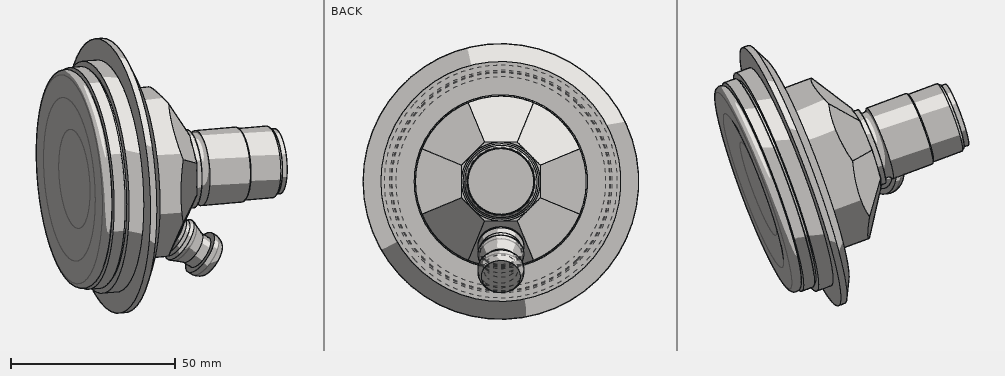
import cadquery as cq
import math

plate_dia = 84.0
plate_bevel_dia = 73.1
plate_front = 12.1
plate_bevel_start = 14.1
plate_back = 17.0
rear_ring_dia = 71.0
rear_ring_front = 7.4
front_ring_dia = 67.9
front_ring_back = 6.6
front_ring_front = 3.1
ring_groove_dia = 66.4
bead_core_dia = 63.9
bead_radius = 1.5

dish_rim_dia = 50.1
dish_floor_dia = 30.3
dish_depth = 1.6

body_dia = 52.0
body_flare_dia = 52.8
body_flare_end = 17.7
facet_count = 8
facet_slope = 55.0
facets_back = 37.0

collar_dia = 24.0
collar_back = 38.6
neck_dia = 21.0
grip_dia = 23.0
grip_front = 41.3
grip_back = 54.3
grip_chamfer_end = 54.7
sleeve_dia = 22.0
sleeve_chamfer_start = 64.2
sleeve_back = 65.0
tip_chamfer_dia = 20.5
tip_dia = 20.0
total_length = 66.6

nozzle_offset = 9.15
nozzle_root_depth = 2.5
nozzle_wide_dia = 14.0
nozzle_neck_dia = 12.5
nozzle_stem_dia = 10.5
nozzle_end_dia = 11.9
nozzle_base_height = 0.6
nozzle_neck_start = 2.1
nozzle_neck_end = 3.45
nozzle_bulge_start = 4.45
nozzle_bulge_mid = 5.2
nozzle_bulge_mid_dia = 13.8
nozzle_cone_start = 5.8
nozzle_cone_dia = 13.2
nozzle_stem_start = 9.3
nozzle_stem_end = 12.4
nozzle_head_edge = 14.2
nozzle_round_mid = 15.2
nozzle_round_mid_dia = 13.5
nozzle_height = 16.5


def revolve_outline(outline):
    """Close an outline of (radius, y) points and turn it about the Y axis."""
    return outline.close().revolve(360, (0, 0, 0), (0, 1, 0))


def make_front():
    bead_core = bead_core_dia / 2
    outline = (
        cq.Workplane("XY")
        .moveTo(0, 0)
        .lineTo(bead_core, 0)
        .threePointArc((bead_core + bead_radius, bead_radius), (bead_core, 2 * bead_radius))
        .lineTo(bead_core, front_ring_front)
        .lineTo(front_ring_dia / 2, front_ring_front)
        .lineTo(front_ring_dia / 2, front_ring_back)
        .lineTo(ring_groove_dia / 2, front_ring_back)
        .lineTo(ring_groove_dia / 2, rear_ring_front)
        .lineTo(rear_ring_dia / 2, rear_ring_front)
        .lineTo(rear_ring_dia / 2, plate_front)
        .lineTo(plate_dia / 2, plate_front)
        .lineTo(plate_dia / 2, plate_bevel_start)
        .lineTo(plate_bevel_dia / 2, plate_back)
        .lineTo(body_flare_dia / 2, plate_back)
        .lineTo(body_dia / 2, body_flare_end)
        .lineTo(0, body_flare_end)
    )
    return revolve_outline(outline)


def make_dish():
    """Dish whose curved wall runs tangent into its flat floor."""
    floor = dish_floor_dia / 2
    run = dish_rim_dia / 2 - floor
    wall_radius = (run**2 + dish_depth**2) / (2 * dish_depth)
    mid_angle = math.asin(run / wall_radius) / 2
    wall_mid = (
        floor + wall_radius * math.sin(mid_angle),
        dish_depth - wall_radius * (1 - math.cos(mid_angle)),
    )
    outline = (
        cq.Workplane("XY")
        .moveTo(0, 0)
        .lineTo(dish_rim_dia / 2, 0)
        .threePointArc(wall_mid, (floor, dish_depth))
        .lineTo(0, dish_depth)
    )
    return revolve_outline(outline)


def octagon(y, apothem):
    """Octagon across the main axis, with flats facing X and Z."""
    corner_radius = apothem / math.cos(math.pi / facet_count)
    corners = []
    for i in range(facet_count):
        angle = (2 * i + 1) * math.pi / facet_count
        corners.append(cq.Vector(corner_radius * math.cos(angle), y, corner_radius * math.sin(angle)))
    return cq.Wire.makePolygon(corners, close=True)


def make_body():
    """Cylinder trimmed by the facets of an octagonal pyramid."""
    body_height = facets_back - plate_back
    cylinder = cq.Workplane(
        cq.Solid.makeCylinder(body_dia / 2, body_height, cq.Vector(0, plate_back, 0), cq.Vector(0, 1, 0))
    )
    top_apothem = collar_dia / 2
    base_apothem = top_apothem + body_height * math.tan(math.radians(facet_slope))
    pyramid = cq.Solid.makeLoft([octagon(plate_back, base_apothem), octagon(facets_back, top_apothem)], True)
    return cylinder.intersect(cq.Workplane(pyramid))


def make_stem():
    """Stem with a round groove between its collar and its grip."""
    grip = grip_dia / 2
    outline = (
        cq.Workplane("XY")
        .moveTo(0, body_flare_end)
        .lineTo(collar_dia / 2, facets_back)
        .lineTo(collar_dia / 2, collar_back)
        .lineTo(grip, collar_back)
        .threePointArc((neck_dia / 2, (collar_back + grip_front) / 2), (grip, grip_front))
        .lineTo(grip, grip_back)
        .lineTo(sleeve_dia / 2, grip_chamfer_end)
        .lineTo(sleeve_dia / 2, sleeve_chamfer_start)
        .lineTo(tip_chamfer_dia / 2, sleeve_back)
        .lineTo(tip_dia / 2, sleeve_back)
        .lineTo(tip_dia / 2, total_length)
        .lineTo(0, total_length)
    )
    return revolve_outline(outline)


def make_nozzle():
    """Turned nozzle standing square on the facet that faces -Z."""
    slope = math.radians(facet_slope)
    base_center = (
        0,
        facets_back - nozzle_offset * math.cos(slope),
        -collar_dia / 2 - nozzle_offset * math.sin(slope),
    )
    axis = (0, math.sin(slope), -math.cos(slope))
    plane = cq.Plane(origin=base_center, xDir=(1, 0, 0), normal=cq.Vector(1, 0, 0).cross(cq.Vector(*axis)))
    outline = (
        cq.Workplane(plane)
        .moveTo(0, -nozzle_root_depth)
        .lineTo(nozzle_neck_dia / 2, -nozzle_root_depth)
        .lineTo(nozzle_wide_dia / 2, 0)
        .lineTo(nozzle_wide_dia / 2, nozzle_base_height)
        .lineTo(nozzle_neck_dia / 2, nozzle_neck_start)
        .lineTo(nozzle_neck_dia / 2, nozzle_neck_end)
        .lineTo(nozzle_wide_dia / 2, nozzle_bulge_start)
        .threePointArc(
            (nozzle_bulge_mid_dia / 2, nozzle_bulge_mid),
            (nozzle_cone_dia / 2, nozzle_cone_start),
        )
        .lineTo(nozzle_stem_dia / 2, nozzle_stem_start)
        .lineTo(nozzle_stem_dia / 2, nozzle_stem_end)
        .lineTo(nozzle_wide_dia / 2, nozzle_stem_end)
        .lineTo(nozzle_wide_dia / 2, nozzle_head_edge)
        .threePointArc(
            (nozzle_round_mid_dia / 2, nozzle_round_mid),
            (nozzle_end_dia / 2, nozzle_height),
        )
        .lineTo(0, nozzle_height)
    )
    return revolve_outline(outline)


result = make_front().union(make_body()).union(make_stem()).union(make_nozzle()).cut(make_dish())